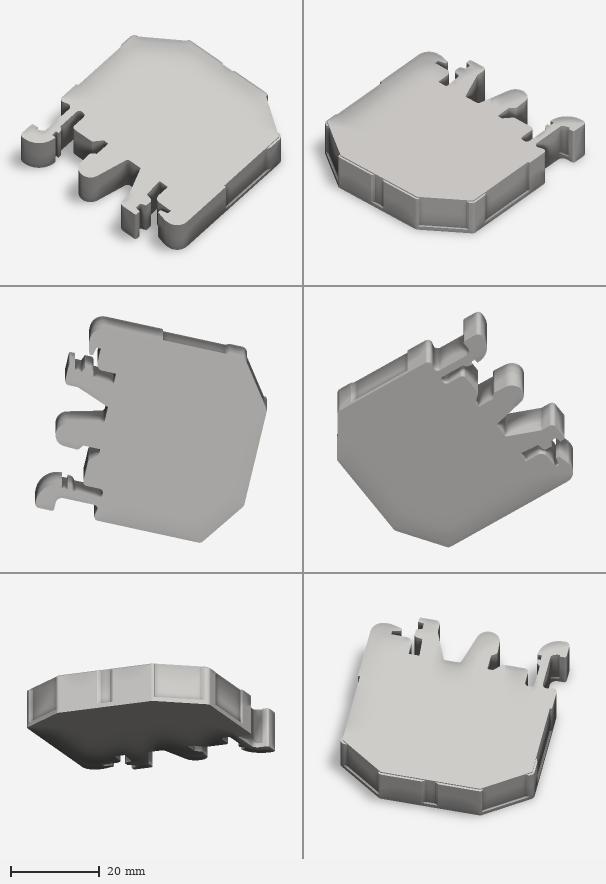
import cadquery as cq
import math

width = 44.7
height = 45.95
thickness = 9.0

shoulder_y = 38.45
top_edge_x = 10.75
shoulder_radius = 1.1
inset = 0.5
rim_z = 8.7
rim_end_y = 19.5
pocket_floor_z = 1.0
side_pocket_top_y = 33.7
side_pocket_ramp = 1.2
shoulder_pocket_low_y = 39.1
shoulder_pocket_high_x = 10.4
top_pocket_half_width = 1.1
top_pocket_ramp = 0.8

foot_top_y = 4.45
slot_right_x = 7.5
slot_top_y = 14.3
stem_left_x = 3.5
stem_right_x = 5.3
stem_notch_x = 5.5
stem_notch_top_y = 6.27
foot_right_x = 6.53
foot_radius = 4.93
stem_root_radius = 1.5
foot_groove_left_x = 1.5
foot_groove_low_y = 4.0
foot_groove_end_y = 4.8
foot_groove_bend = (2.7, 4.2)
foot_groove_floor_z = 1.0
foot_groove_fillet = 1.0

block_bottom_y = 9.4
block_right_x = 16.65
block_recess_y = 11.4
bump_y = 6.6
rail_recess_y = 10.9
hook_left_x = 29.85
hook_right_x = 34.75
hook_neck_x = 33.4
hook_bottom_y = 0.1
claw_left_x = 34.9
claw_wall_x = 39.9
claw_tip_x = 38.0
claw_ceiling_y = 6.3
claw_bottom_y = 3.3

tongue_x = 18.25
tongue_radius = 2.7
tongue_tip_y = 0.78
tongue_y = tongue_tip_y + tongue_radius
tongue_left_angle = math.radians(3)
tongue_right_angle = math.radians(14.2)


def tongue_flank_x(y, side):
    """x of the tongue flank tangent to its round tip; side is -1 (left) or +1 (right)."""
    angle = tongue_right_angle if side > 0 else tongue_left_angle
    return tongue_x + side * (tongue_radius / math.cos(angle) + (y - tongue_y) * math.tan(angle))


def tongue_apex():
    """Point below the tip where the two flanks would meet."""
    gap = tongue_flank_x(tongue_y, 1) - tongue_flank_x(tongue_y, -1)
    y = tongue_y - gap / (math.tan(tongue_left_angle) + math.tan(tongue_right_angle))
    return tongue_flank_x(y, 1), y


def rounded_outline(corners):
    """Closed wire through (x, y, radius) corners, each rounded by a tangent arc."""
    sections = []
    for i, (x, y, radius) in enumerate(corners):
        corner = cq.Vector(x, y)
        if radius == 0:
            sections.append((corner, None, corner))
            continue
        back = (cq.Vector(*corners[i - 1][:2]) - corner).normalized()
        ahead = (cq.Vector(*corners[(i + 1) % len(corners)][:2]) - corner).normalized()
        half_angle = back.getAngle(ahead) / 2
        reach = radius / math.tan(half_angle)
        to_arc = radius / math.sin(half_angle) - radius
        middle = corner + (back + ahead).normalized() * to_arc
        sections.append((corner + back * reach, middle, corner + ahead * reach))

    touching = 1e-6
    edges = []
    previous_end = sections[-1][2]
    for start, middle, end in sections:
        if (start - previous_end).Length > touching:
            edges.append(cq.Edge.makeLine(previous_end, start))
        if middle is not None:
            edges.append(cq.Edge.makeThreePointArc(start, middle, end))
        previous_end = end
    return cq.Wire.assembleEdges(edges)


def prism(points, z_low):
    """Straight prism over a polygon, from z_low to the top face."""
    return cq.Workplane("XY").workplane(offset=z_low).polyline(points).close().extrude(thickness - z_low)


def mirrored(points):
    """Points reflected to the other side of the body."""
    return [(width - x, y) for x, y in points]


def make_plate():
    """Full-thickness plate; each corner is (x, y, rounding radius), anticlockwise from the right side."""
    shoulders = [
        (width, shoulder_y, shoulder_radius),
        (width - top_edge_x, height, shoulder_radius),
        (top_edge_x, height, shoulder_radius),
        (0, shoulder_y, shoulder_radius),
    ]
    spring_foot = [
        (0, 13.3, 1.0),
        (stem_left_x, 14.3, 1.0),
        (stem_left_x, foot_top_y, stem_root_radius),
        (0, foot_top_y, 0.5),
        (0, 0, 1.0),
        (foot_right_x, 0, foot_radius),
        (foot_right_x, foot_radius, 0),
        (stem_notch_x, foot_radius, 0),
        (stem_notch_x, stem_notch_top_y, 0),
        (6.3, stem_notch_top_y, 0),
        (6.1, 7.4, 0.8),
        (stem_right_x, 8.0, 0),
        (stem_right_x, slot_top_y, 0.8),
        (slot_right_x, slot_top_y, 1.0),
    ]
    left_block = [
        (slot_right_x, block_bottom_y, 0.9),
        (13.5, block_bottom_y, 0),
        (15.3, block_recess_y, 0),
        (block_right_x, block_recess_y, 0),
        (block_right_x, 7.5, 0),
        (tongue_flank_x(bump_y, -1), bump_y, 0.8),
    ]
    tongue = [
        (*tongue_apex(), tongue_radius),
        (tongue_flank_x(rail_recess_y, 1), rail_recess_y, 0.8),
    ]
    hook_leg = [
        (26.75, rail_recess_y, 0.3),
        (hook_left_x, 3.25, 0),
        (hook_left_x, hook_bottom_y, 1.0),
        (hook_right_x, hook_bottom_y, 0.4),
        (hook_right_x, 1.45, 0),
        (hook_neck_x, 1.7, 0),
        (hook_neck_x, 3.2, 0),
        (hook_right_x, 3.7, 0),
        (hook_right_x, 5.7, 0.8),
        (32.75, 6.15, 0),
        (32.4, rail_recess_y, 0.2),
    ]
    right_claw = [
        (claw_left_x, rail_recess_y, 0.2),
        (claw_left_x, claw_ceiling_y, 1.5),
        (39.2, 6.2, 0),
        (claw_wall_x, claw_ceiling_y, 0),
        (claw_wall_x, 5.25, 0),
        (claw_tip_x, 4.8, 0),
        (claw_tip_x, 4.0, 0),
        (40.7, claw_bottom_y, 0),
        (width, claw_bottom_y, 3.0),
    ]
    outline = shoulders + spring_foot + left_block + tongue + hook_leg + right_claw
    return cq.Workplane("XY").add(rounded_outline(outline)).toPending().extrude(thickness)


def make_edge_band(z_low):
    """Strip of constant width along the sides, shoulders and top edge, from z_low to the top face."""
    slant = math.atan2(height - shoulder_y, top_edge_x)
    inner_shoulder_y = shoulder_y - inset * math.tan(math.pi / 4 - slant / 2)
    inner_top_x = top_edge_x + inset * math.tan(slant / 2)
    left_inner = [
        (inset, rim_end_y),
        (inset, inner_shoulder_y),
        (inner_top_x, height - inset),
    ]
    left_outer = [(0, rim_end_y), (0, height), (top_edge_x, height)]
    points = left_outer + mirrored(left_outer)[::-1] + mirrored(left_inner) + left_inner[::-1]
    return prism(points, z_low)


def make_edge_pockets():
    """Areas of the edge band that are sunk down to the pocket floor."""
    side = [
        (0, rim_end_y),
        (inset, rim_end_y),
        (inset, side_pocket_top_y),
        (0, side_pocket_top_y + side_pocket_ramp),
    ]
    shoulder = [
        (0, shoulder_pocket_low_y),
        (shoulder_pocket_high_x, shoulder_pocket_low_y),
        (shoulder_pocket_high_x, height),
        (0, height),
    ]
    top = [
        (width / 2 - top_pocket_half_width, height - inset),
        (width / 2 + top_pocket_half_width, height - inset),
        (width / 2 + top_pocket_half_width + top_pocket_ramp, height),
        (width / 2 - top_pocket_half_width - top_pocket_ramp, height),
    ]
    pockets = prism(top, pocket_floor_z)
    for points in (side, shoulder):
        pockets = pockets.union(prism(points, pocket_floor_z))
        pockets = pockets.union(prism(mirrored(points), pocket_floor_z))
    return pockets


def make_foot_groove():
    """Groove at the root of the stem; its floor curves up into the stem."""
    clear_y = foot_top_y + stem_root_radius
    footprint = (
        cq.Workplane("XY")
        .moveTo(foot_groove_left_x, clear_y)
        .lineTo(foot_groove_left_x, foot_groove_low_y)
        .threePointArc(foot_groove_bend, (stem_left_x, foot_groove_end_y))
        .lineTo(stem_left_x, clear_y)
        .close()
        .extrude(thickness)
    )
    length = stem_left_x - foot_groove_left_x
    depth = clear_y - foot_groove_low_y
    room = (
        cq.Workplane("XY")
        .box(length, depth, thickness, centered=False)
        .edges("|Y and >X and <Z")
        .fillet(foot_groove_fillet)
        .translate((foot_groove_left_x, foot_groove_low_y, foot_groove_floor_z))
    )
    return footprint.intersect(room)


rim_step = make_edge_band(rim_z)
edge_pockets = make_edge_pockets().intersect(make_edge_band(pocket_floor_z))

result = make_plate().cut(rim_step).cut(edge_pockets).cut(make_foot_groove())